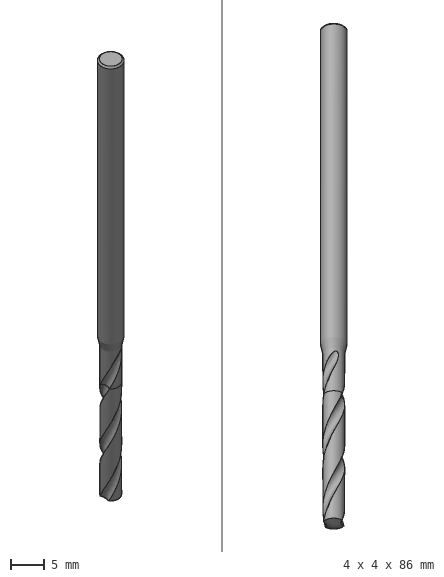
import cadquery as cq
import math


total_length = 86.0
shank_diameter = 4.0
drill_diameter = 3.3
point_angle = 140.0
cutting_length = 22.6
neck_top = 29.9
shank_bottom = 31.6
shank_chamfer = 0.3

flute_count = 2
flute_lead = 21.8
flute_depth = 0.55
flute_width_angle = 62.0
flute_top = 27.0
first_flute_angle = -85.0

shank_radius = shank_diameter / 2
drill_radius = drill_diameter / 2
point_height = drill_radius / math.tan(math.radians(point_angle / 2))
core_radius = drill_radius - flute_depth

edge_radial = drill_radius * math.cos(math.radians(flute_width_angle / 2))
edge_sideways = drill_radius * math.sin(math.radians(flute_width_angle / 2))
floor_to_edges = edge_radial - core_radius
flute_radius = (floor_to_edges**2 + edge_sideways**2) / (2 * floor_to_edges)
flute_offset = core_radius + flute_radius


def make_flute(tip_angle):
    """Helical cutter and its straight run-out, which leaves the drill along the helix tangent."""
    section = cq.Workplane("XY").moveTo(flute_offset, 0).circle(flute_radius)
    twist = 360 * flute_top / flute_lead
    helix = section.twistExtrude(flute_top, twist).rotate((0, 0, 0), (0, 0, 1), tip_angle)

    runout_height = neck_top - flute_top
    runout_drift = runout_height * 2 * math.pi * flute_offset / flute_lead
    path = cq.Workplane("YZ", origin=(flute_offset, 0, flute_top)).lineTo(runout_drift, runout_height)
    runout = (
        cq.Workplane("XY", origin=(flute_offset, 0, flute_top))
        .circle(flute_radius)
        .sweep(path)
        .rotate((0, 0, 0), (0, 0, 1), tip_angle + twist)
    )
    return helix, runout


flutes = []
for index in range(flute_count):
    flutes.extend(make_flute(first_flute_angle + index * 360 / flute_count))


def cut_flutes(body):
    """Remove every flute and its run-out from a body."""
    for flute in flutes:
        body = body.cut(flute)
    return body


def make_cutting_head():
    """Fluted head with a conical point."""
    head = (
        cq.Workplane("XZ")
        .lineTo(drill_radius, point_height)
        .lineTo(drill_radius, cutting_length)
        .lineTo(0, cutting_length)
        .close()
        .revolve(360, (0, 0, 0), (0, 1, 0))
    )
    return cut_flutes(head)


def make_holder():
    """Neck with the flute ends, a cone and the plain shank with a chamfered end."""
    holder = (
        cq.Workplane("XZ")
        .moveTo(0, cutting_length)
        .lineTo(drill_radius, cutting_length)
        .lineTo(drill_radius, neck_top)
        .lineTo(shank_radius, shank_bottom)
        .lineTo(shank_radius, total_length - shank_chamfer)
        .lineTo(shank_radius - shank_chamfer, total_length)
        .lineTo(0, total_length)
        .close()
        .revolve(360, (0, 0, 0), (0, 1, 0))
    )
    return cut_flutes(holder)


cutting_head = make_cutting_head()
holder = make_holder()
result = cq.Compound.makeCompound([cutting_head.val(), holder.val()])